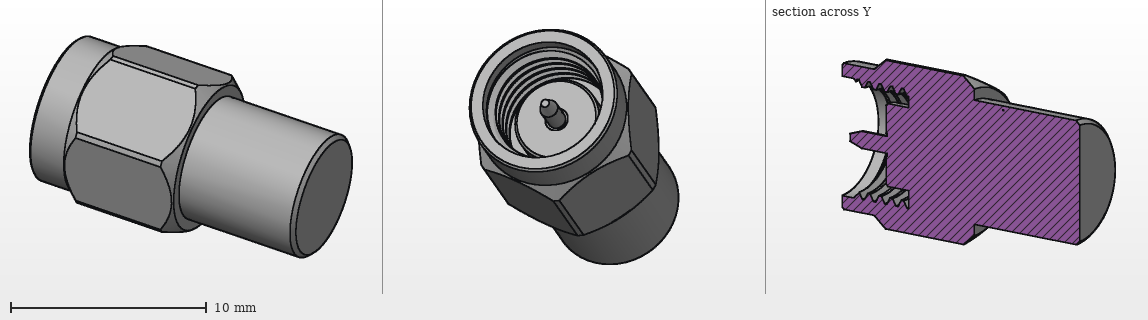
import cadquery as cq
import math

total_length = 15.0

nose_radius = 3.9
nose_chamfer = 0.12

hex_start = 2.02
hex_end = 8.37
hex_across_flats = 7.94
hex_corner_diameter = 8.98
hex_corner_radius = hex_corner_diameter / 2
hex_sides = 6
hex_chamfer_length = 0.72

barrel_radius = 3.32
barrel_chamfer = 0.22

mouth_radius = 3.16
mouth_depth = 0.74
bore_radius = 2.79
lead_in_length = mouth_radius - bore_radius
socket_depth = 4.2

thread_pitch = 0.7
thread_root_radius = 3.15
thread_crest_width = 0.18
thread_flank_angle = 30.0
thread_start = -0.76
groove_overlap = 0.05

boss_radius = 2.22
boss_chamfer = 0.14
boss_face = 2.76

recess_radius = 0.6
recess_depth = 0.08
pin_radius = 0.46
pin_tip_radius = 0.21
pin_tip = 0.5
pin_taper_length = 0.75


def revolve_about_axis(profile):
    """Solid of revolution about X from a list of (x, radius) points."""
    return cq.Workplane("XY").polyline(profile).close().revolve(360, (0, 0, 0), (1, 0, 0))


def cylinder(start, end, radius):
    return cq.Workplane("YZ", origin=(start, 0, 0)).circle(radius).extrude(end - start)


def make_nose():
    return cylinder(0, hex_start, nose_radius).faces("<X").chamfer(nose_chamfer)


def make_hex():
    """Hexagonal prism with its corners turned round and both ends coned."""
    half_side_angle = 180 / hex_sides
    corner_to_corner = hex_across_flats / math.cos(math.radians(half_side_angle))
    prism = (
        cq.Workplane("YZ", origin=(hex_start, 0, 0))
        .transformed(rotate=(0, 0, half_side_angle))
        .polygon(hex_sides, corner_to_corner)
        .extrude(hex_end - hex_start)
    )
    turned_envelope = revolve_about_axis([
        (hex_start, 0),
        (hex_start, nose_radius),
        (hex_start + hex_chamfer_length, hex_corner_radius),
        (hex_end - hex_chamfer_length, hex_corner_radius),
        (hex_end, nose_radius),
        (hex_end, 0),
    ])
    return prism.intersect(turned_envelope)


def make_barrel():
    return cylinder(hex_end, total_length, barrel_radius).faces(">X").chamfer(barrel_chamfer)


def make_socket():
    lead_in_end = mouth_depth + lead_in_length
    return revolve_about_axis([
        (0, 0),
        (0, mouth_radius),
        (mouth_depth, mouth_radius),
        (lead_in_end, bore_radius),
        (socket_depth, bore_radius),
        (socket_depth, 0),
    ])


def make_thread_groove():
    """Helical groove cutter, trimmed inside the mouth and at the socket floor."""
    inner_radius = bore_radius - groove_overlap
    flank_slope = math.tan(math.radians(thread_flank_angle))
    bore_half_width = (thread_pitch - thread_crest_width) / 2
    inner_half_width = bore_half_width + groove_overlap * flank_slope
    root_half_width = bore_half_width - (thread_root_radius - bore_radius) * flank_slope

    helix_length = socket_depth - thread_start + thread_pitch
    helix = cq.Wire.makeHelix(thread_pitch, helix_length, bore_radius)
    groove = (
        cq.Workplane("XZ")
        .polyline([
            (inner_radius, -inner_half_width),
            (thread_root_radius, -root_half_width),
            (thread_root_radius, root_half_width),
            (inner_radius, inner_half_width),
        ])
        .close()
        .sweep(cq.Workplane(obj=helix), isFrenet=True)
        .rotate((0, 0, 0), (0, 1, 0), 90)
        .translate((thread_start, 0, 0))
    )
    return groove.intersect(cylinder(mouth_depth / 2, socket_depth, mouth_radius))


def make_boss():
    boss = cylinder(boss_face, socket_depth, boss_radius).faces("<X").chamfer(boss_chamfer)
    return boss.cut(cylinder(boss_face, boss_face + recess_depth, recess_radius))


def make_pin():
    taper_end = pin_tip + pin_taper_length
    return revolve_about_axis([
        (pin_tip, 0),
        (pin_tip, pin_tip_radius),
        (taper_end, pin_radius),
        (socket_depth, pin_radius),
        (socket_depth, 0),
    ])


shell = make_nose().union(make_hex()).union(make_barrel())
shell = shell.cut(make_socket()).cut(make_thread_groove())
result = shell.union(make_boss()).union(make_pin()).solids()